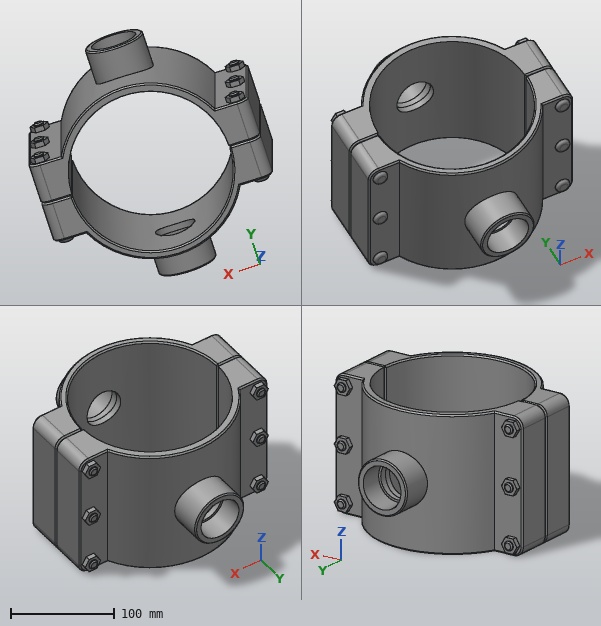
import cadquery as cq
import math

total_width = 223.0
total_height = 145.0
total_depth = 236.0

bore_radius = 80.0
barrel_radius = 88.0
lug_depth = 40.1
lug_corner_radius = 11.0
edge_chamfer = 1.7

spigot_diameter = 58.3
spigot_chamfer = 1.5
socket_diameter = 44.8
port_diameter = 40.0
socket_depth = 25.7
seat_depth = 1.5

bolts_per_lug = 3
bolt_inset = 12.0
bolt_diameter = 10.0
bolt_overhang = 2.4
bolt_tip_chamfer = 1.5
head_diameter = 15.0
head_height = 4.0
head_round = 3.0
nut_flats = 15.8
nut_height = 5.2

half_width = total_width / 2
half_height = total_height / 2
half_depth = total_depth / 2
seat_radius = barrel_radius - seat_depth
socket_floor = half_depth - socket_depth
nut_corners = nut_flats / math.cos(math.radians(30))
bolt_x = half_width - bolt_inset
bolt_top = half_height - bolt_inset
bolt_pitch = 2 * bolt_top / (bolts_per_lug - 1)
tolerance = 0.002


def y_cylinder(diameter, start, end, x=0, z=0):
    """Cylinder along Y from Y = start to Y = end."""
    return cq.Workplane("XZ", origin=(x, start, z)).circle(diameter / 2).extrude(start - end)


def z_cylinder(radius):
    """Cylinder around the main axis, as tall as the clamp."""
    return cq.Workplane("XY").cylinder(total_height, radius)


def is_broken_edge(edge, chamfer_bore):
    """Tell whether an edge of the plain rear half shell gets a chamfer."""
    box = edge.BoundingBox()
    on_parting_face = box.ymax < tolerance
    on_lug_face = box.ymin > lug_depth - tolerance and box.ylen < tolerance
    on_barrel_corner = on_lug_face and abs(box.center.x) < barrel_radius and box.zlen > tolerance
    on_barrel_rim = edge.geomType() == "CIRCLE" and box.ymax > barrel_radius - tolerance
    on_bore_rim = edge.geomType() == "CIRCLE" and abs(box.ymax - bore_radius) < tolerance
    if on_barrel_corner:
        return False
    return on_parting_face or on_lug_face or on_barrel_rim or (chamfer_bore and on_bore_rim)


def half_shell(chamfer_bore):
    """Rear half of the clamp shell, with its parting face on Y = 0."""
    lugs = (
        cq.Workplane("XY")
        .box(total_width, lug_depth, total_height, centered=(True, False, True))
        .edges("|Y")
        .fillet(lug_corner_radius)
    )
    rear_space = cq.Workplane("XY").box(
        total_width, total_depth, total_height, centered=(True, False, True)
    )
    barrel = z_cylinder(barrel_radius).intersect(rear_space)
    shell = lugs.union(barrel).cut(z_cylinder(bore_radius))
    broken_edges = [e for e in shell.edges().vals() if is_broken_edge(e, chamfer_bore)]
    return shell.newObject(broken_edges).chamfer(edge_chamfer)


def fastener(x, z):
    """Bolt along Y with a rounded head at the front and a hexagon nut at the rear."""
    head = y_cylinder(head_diameter, -lug_depth - head_height, -lug_depth, x, z)
    head = head.faces("<Y").edges().fillet(head_round)
    tip = lug_depth + nut_height + bolt_overhang
    shank = y_cylinder(bolt_diameter, -lug_depth, tip, x, z)
    shank = shank.faces(">Y").chamfer(bolt_tip_chamfer)
    nut = (
        cq.Workplane("XZ", origin=(x, lug_depth, z))
        .polygon(6, nut_corners)
        .extrude(-nut_height)
    )
    return shank.union(head).union(nut)


def make_clamp():
    """Both half shells and their fasteners as one body, drilled for the spigots."""
    front_half = half_shell(chamfer_bore=True).mirror("XZ")
    clamp = half_shell(chamfer_bore=False).union(front_half)
    for x in (-bolt_x, bolt_x):
        for row in range(bolts_per_lug):
            clamp = clamp.union(fastener(x, row * bolt_pitch - bolt_top))
    seats = y_cylinder(spigot_diameter, -half_depth, half_depth).cut(z_cylinder(seat_radius))
    port = y_cylinder(port_diameter, -half_depth, half_depth)
    return clamp.cut(seats).cut(port)


def make_spigot(side):
    """Branch spigot with a stepped bore; side is -1 for the front and 1 for the rear."""
    spigot = y_cylinder(spigot_diameter, 0, half_depth)
    spigot = spigot.faces(">Y").chamfer(spigot_chamfer)
    spigot = spigot.cut(z_cylinder(seat_radius))
    spigot = spigot.cut(y_cylinder(port_diameter, 0, half_depth))
    spigot = spigot.cut(y_cylinder(socket_diameter, socket_floor, half_depth))
    return spigot if side > 0 else spigot.mirror("XZ")


clamp = make_clamp().solids()
spigots = [make_spigot(side).solids() for side in (-1, 1)]

result = cq.Compound.makeCompound([clamp.val(), *[spigot.val() for spigot in spigots]])